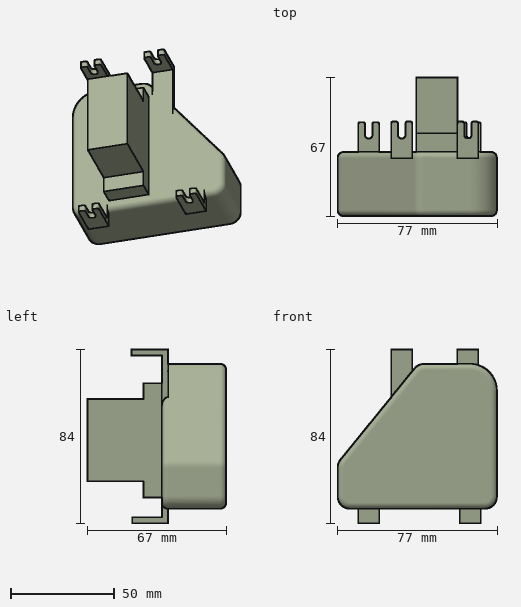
import cadquery as cq

width = 77.0
total_height = 84.0
tab_rise = 7.0
housing_bottom = tab_rise
housing_top = total_height - tab_rise
housing_depth = 31.1
slope_start_z = 29.1
slope_end_x = 39.0
corner_radius = 6.0
large_corner_radius = 13.0
edge_radius = 2.9

block_left = 38.0
block_right = 58.0
base_bottom = 12.4
base_top = 67.7
base_back = 40.0
tower_bottom = 20.25
tower_top = 60.15
tower_back = 67.0

tab_width = 10.25
tab_thickness = 3.0
slot_width = 3.5
slot_floor_y = 37.55
prong_radius = 1.0
upper_tab_back = 45.8
lower_tab_back = 45.45
upper_tab_lefts = (25.9, 57.8)
lower_tab_lefts = (9.9, 59.0)
upper_plate_end = 52.1
lower_plate_end = 16.8


def box(x0, x1, y0, y1, z0, z1):
    """Box between pairs of opposite faces."""
    return cq.Workplane("XY").box(x1 - x0, y1 - y0, z1 - z0, centered=False).translate((x0, y0, z0))


def make_housing():
    """Five-sided case with a sloping left shoulder and rounded edges all around."""
    outline = [
        (0, housing_bottom),
        (width, housing_bottom),
        (width, housing_top),
        (slope_end_x, housing_top),
        (0, slope_start_z),
    ]
    body = cq.Workplane("XZ").polyline(outline).close().extrude(-housing_depth)
    body = body.edges("|Y and >X and >Z").fillet(large_corner_radius)
    sharp_corners = [outline[i] for i in (0, 1, 3, 4)]
    for x, z in sharp_corners:
        body = body.edges(cq.NearestToPointSelector((x, housing_depth / 2, z))).fillet(corner_radius)
    return body.faces("<Y or >Y").edges().fillet(edge_radius)


def make_block():
    """Low base with a smaller tower rising from it toward the back."""
    base = box(block_left, block_right, housing_depth, base_back, base_bottom, base_top)
    tower = box(block_left, block_right, housing_depth, tower_back, tower_bottom, tower_top)
    return base.union(tower)


def make_tab(left, back, foot_bottom, plate_bottom, plate_top):
    """Upright plate along the housing back, and a foot with an open slot at its end."""
    plate_front = housing_depth - tab_thickness
    right = left + tab_width
    foot_top = foot_bottom + tab_thickness
    middle = left + tab_width / 2
    slot_center_y = slot_floor_y + slot_width / 2

    plate = box(left, right, plate_front, housing_depth, plate_bottom, plate_top)
    foot = box(left, right, plate_front, back, foot_bottom, foot_top)
    slot = box(middle - slot_width / 2, middle + slot_width / 2, slot_center_y, back, foot_bottom, foot_top)
    slot_end = (
        cq.Workplane("XY", origin=(middle, slot_center_y, foot_bottom))
        .circle(slot_width / 2)
        .extrude(tab_thickness)
    )
    foot = foot.cut(slot).cut(slot_end)
    foot = foot.faces(">Y").edges("|Z").fillet(prong_radius)
    return plate.union(foot)


result = make_housing().union(make_block())
for left in upper_tab_lefts:
    foot_bottom = total_height - tab_thickness
    result = result.union(make_tab(left, upper_tab_back, foot_bottom, upper_plate_end, total_height))
for left in lower_tab_lefts:
    result = result.union(make_tab(left, lower_tab_back, 0, 0, lower_plate_end))